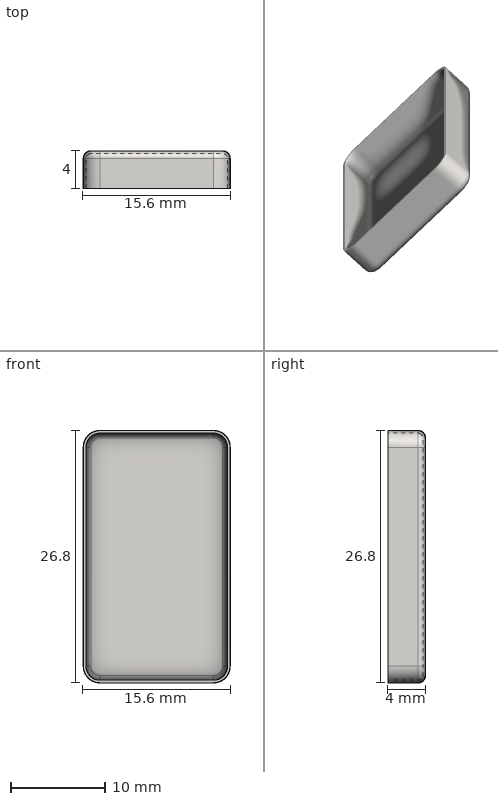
import cadquery as cq

width = 15.6
depth = 4.0
height = 26.8

wall = 0.3
corner_radius = 1.8
edge_radius = 0.8

inner_corner_radius = corner_radius - wall
inner_edge_radius = edge_radius - wall


def rounded_block(size_x, size_y, size_z, corner, back_edge):
    """Block from Y = 0 to size_y with rounded corners and a rounded back edge."""
    block = cq.Workplane("XY").box(size_x, size_y, size_z, centered=(True, False, True))
    return block.edges("|Y").fillet(corner).faces(">Y").edges().fillet(back_edge)


shell = rounded_block(width, depth, height, corner_radius, edge_radius)
cavity = rounded_block(
    width - 2 * wall,
    depth - wall,
    height - 2 * wall,
    inner_corner_radius,
    inner_edge_radius,
)

result = shell.cut(cavity)